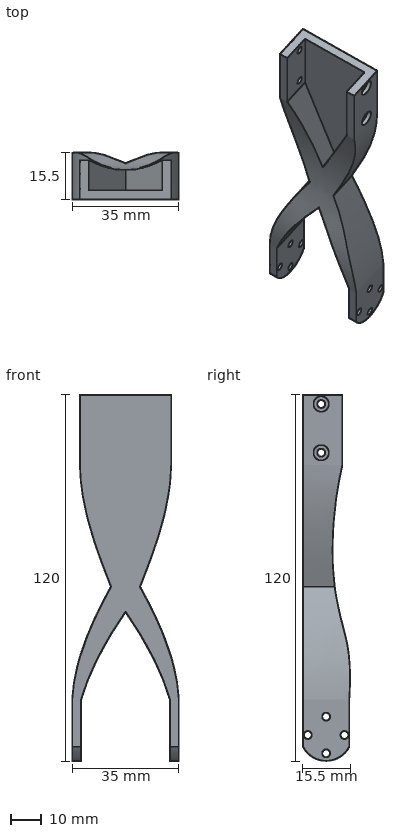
import cadquery as cq

height = 120.0
leg_span = 35.0
head_width = 30.0
wall = 3.0
head_depth = 13.0
leg_depth = 15.2

head_bottom = 96.9
pocket_bottom = 67.9
waist_z = 57.1
crotch_z = 48.8
leg_top = 20.2

waist_half = 4.8
leg_half = leg_span / 2
head_half = head_width / 2

upper_side = [(12.8, 81.0), (8.9, 67.9)]
lower_side = [(11.5, 43.5), (15.2, 33.2)]
crotch_side = [(4.5, 41.9), (9.4, 33.2)]

back_curve = [(10.3, 81.0), (9.7, 70.0), (10.4, 57.1), (12.1, 48.1), (14.6, 37.9), (15.5, 28.8)]

foot_radius = 8.5
foot_hole_circle = 6.0
foot_hole_count = 4
hole_dia = 2.5

head_hole_y = 6.0
head_hole_heights = (117.0, 101.0)
counterbore_dia = 5.0
counterbore_depth = 1.4


def mirrored(points):
    return [(-x, z) for x, z in points]


def front_outline():
    """Crossed-arm outline, extruded through the full depth."""
    outline = (
        cq.Workplane("XZ")
        .moveTo(-head_half, height)
        .lineTo(head_half, height)
        .lineTo(head_half, head_bottom)
        .spline(upper_side + [(waist_half, waist_z)], includeCurrent=True)
        .spline(lower_side + [(leg_half, leg_top)], includeCurrent=True)
        .lineTo(leg_half, 0)
        .lineTo(leg_half - wall, 0)
        .lineTo(leg_half - wall, leg_top)
        .spline(crotch_side[::-1] + [(0, crotch_z)], includeCurrent=True)
        .spline(mirrored(crotch_side) + [(wall - leg_half, leg_top)], includeCurrent=True)
        .lineTo(wall - leg_half, 0)
        .lineTo(-leg_half, 0)
        .lineTo(-leg_half, leg_top)
        .spline(mirrored(lower_side[::-1]) + [(-waist_half, waist_z)], includeCurrent=True)
        .spline(mirrored(upper_side[::-1]) + [(-head_half, head_bottom)], includeCurrent=True)
        .close()
    )
    return outline.extrude(-2 * leg_depth)


def side_profile():
    """Flat front, wavy back and rounded feet, extruded across the full width."""
    foot_corner_z = foot_radius - (foot_radius**2 - (leg_depth / 2) ** 2) ** 0.5
    return (
        cq.Workplane("YZ")
        .moveTo(0, height)
        .lineTo(head_depth, height)
        .lineTo(head_depth, head_bottom)
        .spline(back_curve + [(leg_depth, leg_top)], includeCurrent=True)
        .lineTo(leg_depth, foot_corner_z)
        .threePointArc((leg_depth / 2, 0), (0, foot_corner_z))
        .close()
        .extrude(leg_half, both=True)
    )


def channel_pocket():
    """Open-backed channel that narrows to a point above the waist."""
    inner_half = head_half - wall
    return (
        cq.Workplane("XZ", origin=(0, wall, 0))
        .moveTo(-inner_half, height)
        .lineTo(inner_half, height)
        .lineTo(inner_half, head_bottom)
        .lineTo(0, pocket_bottom)
        .lineTo(-inner_half, head_bottom)
        .close()
        .extrude(-leg_depth)
    )


def foot_holes():
    return (
        cq.Workplane("YZ")
        .center(leg_depth / 2, foot_radius)
        .polarArray(foot_hole_circle, 0, 360, foot_hole_count)
        .circle(hole_dia / 2)
        .extrude(leg_half, both=True)
    )


def head_holes():
    """Holes through both channel sides, counterbored from the outside."""
    centres = [(head_hole_y, z) for z in head_hole_heights]
    points = cq.Workplane("YZ").pushPoints(centres)
    holes = points.circle(hole_dia / 2).extrude(head_half, both=True)
    wide = points.circle(counterbore_dia / 2).extrude(head_half, both=True)
    core_half = head_half - counterbore_depth
    core = points.circle(counterbore_dia / 2).extrude(core_half, both=True)
    return holes.union(wide.cut(core))


body = front_outline().intersect(side_profile())
result = body.cut(channel_pocket()).cut(foot_holes()).cut(head_holes())